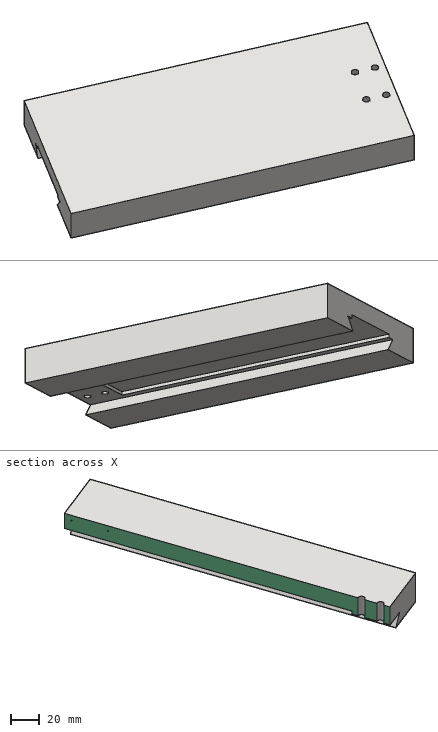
import cadquery as cq

width = 110.0
length = 248.0
height = 25.3

channel_mouth = 45.1
channel_roof = 57.0
channel_depth = 9.2

relief_width = 46.9
relief_depth = 2.5

hole_diameter = 5.0
hole_spacing_x = 26.5
hole_spacing_y = 14.5
hole_edge_margin = 7.5

back = length / 2
hole_pattern_y = back - hole_edge_margin - hole_spacing_y / 2

pad_length = 2 * hole_edge_margin + hole_spacing_y
relief_length = length - pad_length


def make_channel():
    """Dovetail prism, wider at its roof than at its mouth."""
    return (
        cq.Workplane("XZ")
        .polyline([
            (-channel_mouth / 2, 0),
            (channel_mouth / 2, 0),
            (channel_roof / 2, channel_depth),
            (-channel_roof / 2, channel_depth),
        ])
        .close()
        .extrude(length / 2, both=True)
    )


def make_relief():
    """Flat block that deepens the channel roof from the -Y end."""
    return (
        cq.Workplane("XY")
        .box(relief_width, relief_length, relief_depth, centered=(True, False, False))
        .translate((0, -length / 2, channel_depth))
    )


def make_holes():
    """Four vertical cylinders through the full height."""
    return (
        cq.Workplane("XY")
        .center(0, hole_pattern_y)
        .rarray(hole_spacing_x, hole_spacing_y, 2, 2)
        .circle(hole_diameter / 2)
        .extrude(height)
    )


plate = cq.Workplane("XY").box(width, length, height, centered=(True, True, False))
result = plate.cut(make_channel()).cut(make_relief()).cut(make_holes())